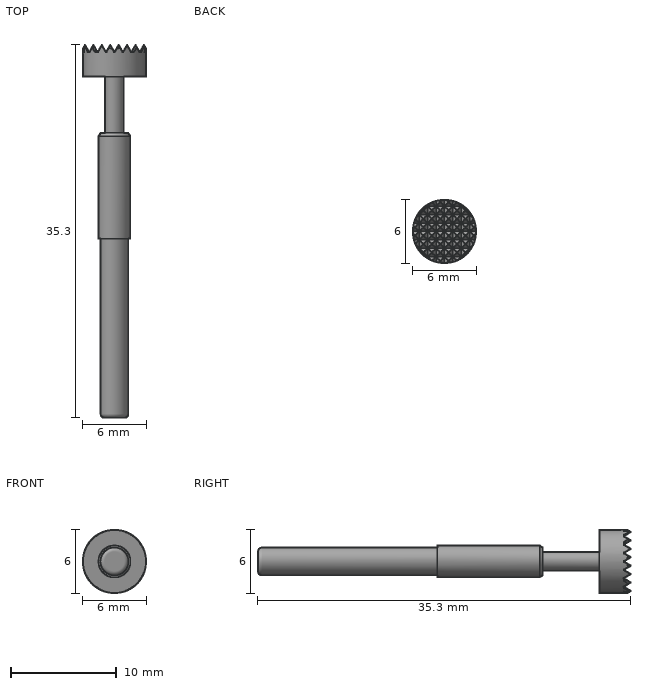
import cadquery as cq
import math


total_length = 35.3
head_length = 3.0
plunger_length = 5.33
sleeve_length = 10.0
tail_length = total_length - head_length - plunger_length - sleeve_length

head_diameter = 6.0
plunger_diameter = 1.8
sleeve_diameter = 3.05
tail_diameter = 2.65

tail_fillet = 0.4
sleeve_chamfer_length = 0.32
sleeve_chamfer_depth = 0.2

teeth_across = 8
tip_span = 5.58
tooth_pitch = tip_span / (teeth_across - 1)
groove_angle = 60.0
groove_depth = tooth_pitch / 2 / math.tan(math.radians(groove_angle / 2))
outer_groove = teeth_across // 2

tail_top = tail_length
sleeve_top = tail_top + sleeve_length
head_base = sleeve_top + plunger_length


def cylinder(diameter, start, end):
    """Cylinder on the Y axis between two stations."""
    disc = cq.Workplane("XZ", origin=(0, start, 0)).circle(diameter / 2)
    return disc.extrude(start - end)


def make_tail():
    return cylinder(tail_diameter, 0, tail_top).faces("<Y").edges().fillet(tail_fillet)


def make_sleeve():
    """Sleeve whose front rim tapers toward the plunger."""
    radius = sleeve_diameter / 2
    profile = (
        cq.Workplane("XY")
        .moveTo(0, tail_top)
        .lineTo(radius, tail_top)
        .lineTo(radius, sleeve_top - sleeve_chamfer_length)
        .lineTo(radius - sleeve_chamfer_depth, sleeve_top)
        .lineTo(0, sleeve_top)
        .close()
    )
    return profile.revolve(360, (0, 0, 0), (0, 1, 0))


def make_groove(offset):
    """V groove along Z, centred at X = offset, its mouth level with the tooth tips."""
    half_width = tooth_pitch / 2
    profile = cq.Workplane("XY").polyline([
        (offset - half_width, total_length),
        (offset, total_length - groove_depth),
        (offset + half_width, total_length),
    ])
    return profile.close().extrude(head_diameter / 2, both=True)


def make_head():
    """Disc with its front face cut into pyramid teeth."""
    head = cylinder(head_diameter, head_base, total_length)
    for index in range(-outer_groove, outer_groove + 1):
        groove = make_groove(index * tooth_pitch)
        head = head.cut(groove)
        head = head.cut(groove.rotate((0, 0, 0), (0, 1, 0), 90))
    return head


plunger = cylinder(plunger_diameter, sleeve_top, head_base)

result = make_tail().union(make_sleeve()).union(plunger).union(make_head())